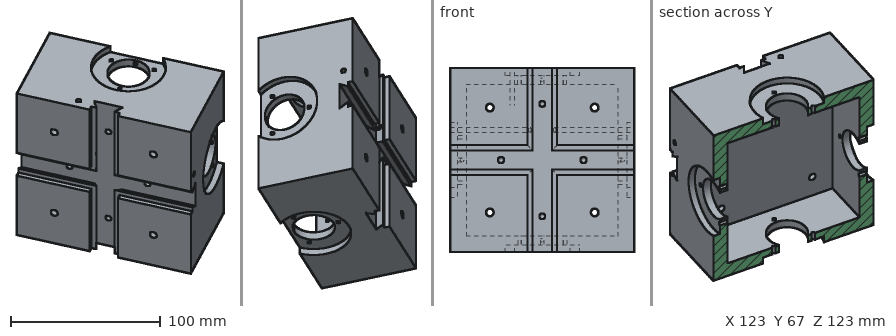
import cadquery as cq
import math

side = 123.0
depth = 67.0
half_side = side / 2

slot_half_width = 10.0
rebate_depth = 3.5
slot_depth = 9.5
dovetail_angle = 60.0
neck_half_width = slot_half_width - (slot_depth - rebate_depth) / math.tan(math.radians(dovetail_angle))

port_y = depth - 16.9
recess_diameter = 49.9
recess_depth = 4.9
bore_diameter = 28.2
web_thickness = 6.0
screw_diameter = 2.5
screw_circle_radius = 17.5
screw_angles = (90, 210, 330)
set_screw_diameter = 2.5

wall_thickness = recess_depth + web_thickness
cavity_side = side - 2 * wall_thickness
cavity_depth = 44.3

corner_hole_diameter = 4.9
corner_hole_spacing = 70.0
floor_hole_depth = 7.4
drill_tip_angle = 118.0
horizontal_floor_hole_diameter = 4.2
horizontal_floor_hole_offset = 27.5
vertical_floor_hole_diameter = 3.9
vertical_floor_hole_offset = 37.5

lock_diameter = 3.2
lock_offset = 20.0
lock_y = 6.5
lock_blind_depth = 24.6


def cylinder(diameter, length, start, direction):
    return cq.Solid.makeCylinder(diameter / 2, length, cq.Vector(*start), cq.Vector(*direction))


def blind_drill(diameter, length, start, direction):
    """Cylinder ended by a drill-point cone."""
    radius = diameter / 2
    axis = cq.Vector(*direction)
    tip_start = cq.Vector(*start) + axis * length
    tip_length = radius / math.tan(math.radians(drill_tip_angle / 2))
    tip = cq.Solid.makeCone(radius, 0, tip_length, tip_start, axis)
    return cylinder(diameter, length, start, direction).fuse(tip)


def vertical_slot():
    """Stepped dovetail running along Z."""
    right_edge = [
        (slot_half_width, 0),
        (slot_half_width, rebate_depth),
        (neck_half_width, rebate_depth),
        (slot_half_width, slot_depth),
    ]
    left_edge = [(-x, y) for x, y in reversed(right_edge)]
    profile = cq.Workplane("XY").polyline(right_edge + left_edge).close()
    return profile.extrude(half_side, both=True)


def top_port():
    """Recess, bore, screw holes and set-screw hole of the top wall."""
    down = (0, 0, -1)
    recess = cylinder(recess_diameter, recess_depth, (0, port_y, half_side), down)
    cutter = cq.Workplane(recess)
    cutter = cutter.union(cylinder(bore_diameter, wall_thickness, (0, port_y, half_side), down))
    for angle in screw_angles:
        x = screw_circle_radius * math.cos(math.radians(angle))
        y = port_y - screw_circle_radius * math.sin(math.radians(angle))
        cutter = cutter.union(cylinder(screw_diameter, wall_thickness, (x, y, half_side), down))
    web_middle = half_side - recess_depth - web_thickness / 2
    set_screw = cylinder(set_screw_diameter, depth - port_y, (0, depth, web_middle), (0, -1, 0))
    return cutter.union(set_screw)


result = cq.Workplane("XY").box(side, depth, side).translate((0, depth / 2, 0))
cavity = cq.Workplane("XY").box(cavity_side, cavity_depth, cavity_side)
result = result.cut(cavity.translate((0, depth - cavity_depth / 2, 0)))

for turn in (0, 90):
    result = result.cut(vertical_slot().rotate((0, 0, 0), (0, 1, 0), turn))

for turn in (0, 90, 180, 270):
    result = result.cut(top_port().rotate((0, 0, 0), (0, 1, 0), turn))

for x_sign in (-1, 1):
    for z_sign in (-1, 1):
        start = (x_sign * corner_hole_spacing / 2, 0, z_sign * corner_hole_spacing / 2)
        result = result.cut(cq.Workplane(cylinder(corner_hole_diameter, depth, start, (0, 1, 0))))

for sign in (-1, 1):
    horizontal_start = (sign * horizontal_floor_hole_offset, slot_depth, 0)
    vertical_start = (0, slot_depth, sign * vertical_floor_hole_offset)
    result = result.cut(
        cq.Workplane(
            blind_drill(horizontal_floor_hole_diameter, floor_hole_depth, horizontal_start, (0, 1, 0))
        )
    )
    result = result.cut(
        cq.Workplane(blind_drill(vertical_floor_hole_diameter, floor_hole_depth, vertical_start, (0, 1, 0)))
    )

through_lock = cylinder(lock_diameter, side, (-half_side, lock_y, lock_offset), (1, 0, 0))
blind_lock = blind_drill(lock_diameter, lock_blind_depth, (-lock_offset, lock_y, half_side), (0, 0, -1))
result = result.cut(cq.Workplane(through_lock)).cut(cq.Workplane(blind_lock))